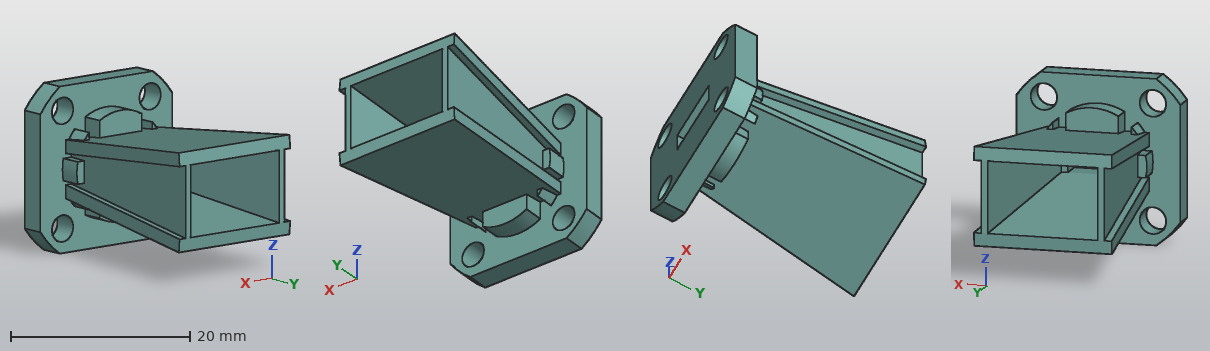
import cadquery as cq
import math

flange_size = 19.05
flange_thickness = 2.8
corner_diameter = 23.32
hole_diameter = 3.05
hole_x = 6.32
hole_z = 6.7

boss_diameter = 12.7
boss_end = 5.33
slot_width = 1.52
top_slot_start = 3.05
side_slot_start = 1.27

bore_width = 7.1
bore_height = 3.55
horn_end = 25.4
plate_thickness = 1.55
plate_base_width = 11.79
plate_end_width = 16.0
side_wall_thickness = 0.75
horn_base_width = 8.55
mouth_height = 8.28

horn_length = horn_end - flange_thickness
height_slope = math.atan((mouth_height - bore_height) / 2 / horn_length)
width_growth = plate_end_width - plate_base_width
mouth_width = horn_base_width + width_growth


def block_along_y(width, height, start, end):
    """Box centred on the Y axis between two Y positions."""
    block = cq.Workplane("XY").box(width, end - start, height)
    return block.translate((0, (start + end) / 2, 0))


def width_wedge(base_width, end_width):
    """Tall block whose width grows linearly along the horn."""
    outline = [
        (-base_width / 2, flange_thickness),
        (base_width / 2, flange_thickness),
        (end_width / 2, horn_end),
        (-end_width / 2, horn_end),
    ]
    return cq.Workplane("XY").polyline(outline).close().extrude(flange_size / 2, both=True)


def height_wedge(width):
    """Block of constant width that fills the gap between the two tilted plates."""
    outline = [
        (flange_thickness, -bore_height / 2),
        (flange_thickness, bore_height / 2),
        (horn_end, mouth_height / 2),
        (horn_end, -mouth_height / 2),
    ]
    return cq.Workplane("YZ").polyline(outline).close().extrude(width / 2, both=True)


def make_flange():
    plate = block_along_y(flange_size, flange_size, 0, flange_thickness)
    corner_disc = cq.Workplane("XZ").circle(corner_diameter / 2).extrude(-flange_thickness)
    holes = (
        cq.Workplane("XZ")
        .rect(2 * hole_x, 2 * hole_z, forConstruction=True)
        .vertices()
        .circle(hole_diameter / 2)
        .extrude(-flange_thickness)
    )
    return plate.intersect(corner_disc).cut(holes)


def make_boss():
    boss = (
        cq.Workplane("XZ", origin=(0, flange_thickness, 0))
        .circle(boss_diameter / 2)
        .extrude(flange_thickness - boss_end)
    )
    slot_x = top_slot_start + slot_width / 2
    slot_z = side_slot_start + slot_width / 2
    for side in (-1, 1):
        upright_slot = block_along_y(slot_width, boss_diameter, flange_thickness, boss_end)
        level_slot = block_along_y(boss_diameter, slot_width, flange_thickness, boss_end)
        boss = boss.cut(upright_slot.translate((side * slot_x, 0, 0)))
        boss = boss.cut(level_slot.translate((0, 0, side * slot_z)))
    return boss


def make_plates():
    """Two tilted plates with ends square to their own faces."""
    rise = plate_thickness * math.cos(height_slope)
    setback = plate_thickness * math.sin(height_slope)
    base_rise = plate_thickness / math.cos(height_slope)
    outline = [
        (flange_thickness, bore_height / 2),
        (horn_end, mouth_height / 2),
        (horn_end - setback, mouth_height / 2 + rise),
        (flange_thickness, bore_height / 2 + base_rise),
    ]
    upper = cq.Workplane("YZ").polyline(outline).close().extrude(flange_size / 2, both=True)
    plates = upper.union(upper.mirror("XY"))
    return plates.intersect(width_wedge(plate_base_width, plate_end_width))


def make_side_walls():
    wall_base_width = horn_base_width + 2 * side_wall_thickness
    wall_end_width = mouth_width + 2 * side_wall_thickness
    return height_wedge(flange_size).intersect(width_wedge(wall_base_width, wall_end_width))


straight_bore = block_along_y(bore_width, bore_height, 0, flange_thickness)
flared_bore = height_wedge(flange_size).intersect(width_wedge(horn_base_width, mouth_width))

result = (
    make_flange()
    .union(make_boss())
    .union(make_plates())
    .union(make_side_walls())
    .cut(straight_bore)
    .cut(flared_bore)
)